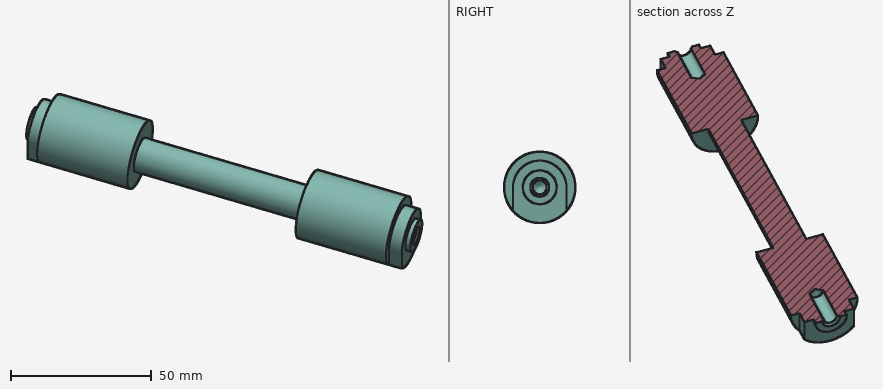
import cadquery as cq
import math

overall_length = 146.0
roller_diameter = 25.4
shaft_diameter = 12.7
boss_diameter = 12.0
boss_length = 1.9
tongue_width = 19.0
tongue_length = 4.8
roller_length = 34.3

hole_diameter = 5.0
countersink_diameter = 6.7
hole_depth = 14.6
drill_point_angle = 118.0

end_x = overall_length / 2
tongue_outer_x = end_x - boss_length
roller_outer_x = tongue_outer_x - tongue_length
roller_inner_x = roller_outer_x - roller_length


def cylinder_along_x(start_x, length, diameter):
    return cq.Workplane("YZ", origin=(start_x, 0, 0)).circle(diameter / 2).extrude(length)


def make_tongue():
    """Round-topped tongue with flat sides, trimmed below by the roller outline."""
    plane = cq.Workplane("YZ", origin=(roller_outer_x, 0, 0))
    lower_block = plane.center(0, -roller_diameter / 4).rect(tongue_width, roller_diameter / 2)
    lower_half = lower_block.extrude(tongue_length).intersect(
        cylinder_along_x(roller_outer_x, tongue_length, roller_diameter)
    )
    return lower_half.union(cylinder_along_x(roller_outer_x, tongue_length, tongue_width))


def make_end_hole():
    """Revolved hole with a 45 degree countersink and a conical bottom."""
    hole_radius = hole_diameter / 2
    countersink_radius = countersink_diameter / 2
    countersink_depth = countersink_radius - hole_radius
    point_depth = hole_radius / math.tan(math.radians(drill_point_angle / 2))
    profile = (
        cq.Workplane("XY")
        .moveTo(end_x, 0)
        .lineTo(end_x, countersink_radius)
        .lineTo(end_x - countersink_depth, hole_radius)
        .lineTo(end_x - hole_depth, hole_radius)
        .lineTo(end_x - hole_depth - point_depth, 0)
        .close()
    )
    return profile.revolve(360, (0, 0, 0), (1, 0, 0))


def make_roller_end():
    """Roller, tongue and end boss on the +X side."""
    roller = cylinder_along_x(roller_inner_x, roller_length, roller_diameter)
    boss = cylinder_along_x(tongue_outer_x, boss_length, boss_diameter)
    return roller.union(make_tongue()).union(boss)


result = cylinder_along_x(-roller_inner_x, 2 * roller_inner_x, shaft_diameter)

roller_end = make_roller_end()
end_hole = make_end_hole()
result = result.union(roller_end).union(roller_end.mirror("YZ"))
result = result.cut(end_hole).cut(end_hole.mirror("YZ"))